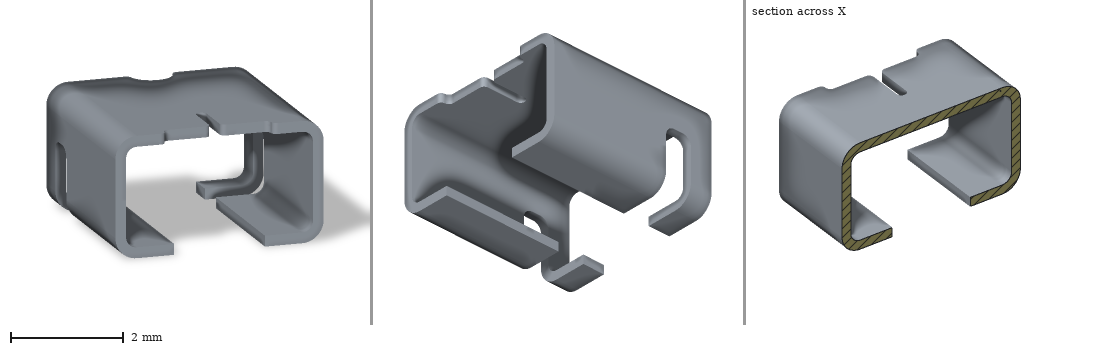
import cadquery as cq

length = 3.81
width = 3.9
height = 2.25
thickness = 0.2
outer_bend_radius = 0.4
inner_bend_radius = outer_bend_radius - thickness
lip_gap = 1.7

wall_slot_offset = 0.5
wall_slot_width = 0.6
wall_slot_height = 1.35
wall_slot_radius = 0.2

edge_radius = 0.1
notch_radius = 0.4
step_depth = 2 * edge_radius
step_width = 2.0
top_slot_width = 0.2
top_slot_reach = 1.1

end_min = -length / 2
end_max = length / 2


def rounded_bar(bar_width, bar_height, corner_radius):
    """Bar along X, centred on X and Y and standing on Z = 0, with rounded long edges."""
    bar = cq.Workplane("XY").box(length, bar_width, bar_height, centered=(True, True, False))
    return bar.edges("|X").fillet(corner_radius)


def c_channel():
    """Sheet bent into a C section that is open along the middle of its underside."""
    outside = rounded_bar(width, height, outer_bend_radius)
    inside = rounded_bar(width - 2 * thickness, height - 2 * thickness, inner_bend_radius)
    opening = cq.Workplane("XY").box(length, lip_gap, 2 * thickness)
    return outside.cut(inside.translate((0, 0, thickness))).cut(opening)


def wall_slots():
    """Cutter through both side walls and lips, rounded at its upper corners."""
    slot = cq.Workplane("XY").box(wall_slot_width, width, wall_slot_height, centered=(False, True, False))
    slot = slot.edges("|Y and >Z").fillet(wall_slot_radius)
    return slot.translate((end_min + wall_slot_offset, 0, 0))


def top_plate_cutter(outline):
    """Raise a closed outline into a cutter through the top plate."""
    return outline.extrude(thickness).translate((0, 0, height - thickness))


def add_round_notch(body):
    """Cut a half-round notch in the -X end of the top plate and round its two mouth corners."""
    notch = cq.Workplane("XY").center(end_min, 0).circle(notch_radius)
    mouth = cq.selectors.BoxSelector(
        (end_min - edge_radius, -notch_radius - edge_radius, height - thickness),
        (end_min + edge_radius, notch_radius + edge_radius, height),
    )
    return body.cut(top_plate_cutter(notch)).edges("|Z").edges(mouth).fillet(edge_radius)


def stepped_slot():
    """Cutter for the recessed +X end and its central round-ended slot, mirrored about the X axis."""
    step_x = end_max - step_depth
    half_step = step_width / 2
    half_slot = top_slot_width / 2
    slot_tip_x = end_max - top_slot_reach
    half_outline = (
        cq.Workplane("XY")
        .moveTo(slot_tip_x, 0)
        .radiusArc((slot_tip_x + half_slot, half_slot), half_slot)
        .lineTo(step_x - edge_radius, half_slot)
        .radiusArc((step_x, half_slot + edge_radius), -edge_radius)
        .lineTo(step_x, half_step - edge_radius)
        .radiusArc((step_x + edge_radius, half_step), edge_radius)
        .radiusArc((end_max, half_step + edge_radius), -edge_radius)
        .lineTo(end_max, 0)
        .close()
    )
    half_cutter = top_plate_cutter(half_outline)
    return half_cutter.union(half_cutter.mirror("XZ"))


result = add_round_notch(c_channel().cut(wall_slots())).cut(stepped_slot())